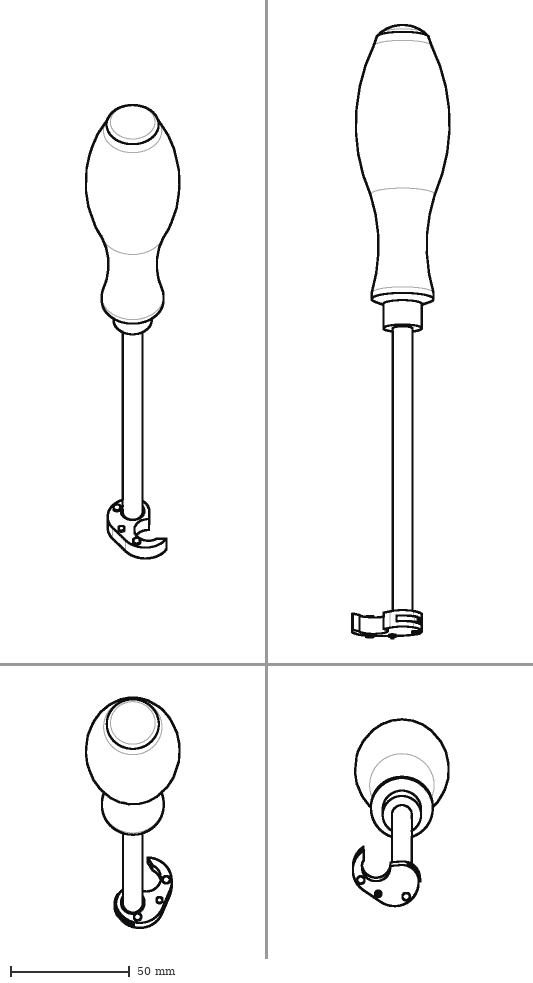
import cadquery as cq
import math

total_height = 261.2

collar_radius = 8.0
collar_bottom = 131.0
collar_top = 141.5
lip_radius = 13.0
lip_bottom = 143.6
lip_top = 146.3
neck_radius = 10.2
neck_z = 167.2
swell_start_radius = 13.5
swell_start_z = 188.5
belly_radius = 19.8
belly_z = 218.9
shoulder_radius = 12.3
shoulder_z = 252.3
rim_radius = 11.0
rim_z = 256.2
dome_radius = 9.5
dome_z = 257.8

shaft_radius = 4.2
eye_chamfer = 0.8
plate_bottom = 1.5
plate_top = 8.5
plate_thickness = plate_top - plate_bottom

eye_radius = 7.0
heel_radius = 10.2
heel_start_angle = 150.0
flank_angle = -75.0
flank_length = 9.0
jaw_outer_radius = 10.5
mouth_radius = 6.0
mouth_shift = 1.0
tip_outer_angle = 36.0
tip_inner_angle = 12.0
eye_end_angle = 60.0

boss_height = 0.8
bosses = [(-4.0, -5.5, 1.5), (7.5, -8.4, 1.3), (16.5, -5.2, 1.5)]
stud_radius = 0.4
stud_x, stud_y = bosses[1][:2]

band_bottom = 4.0
band_top = 6.3
band_height = band_top - band_bottom
band_projection = 0.65
slot_top_y = 2.0
slot_bottom_y = -5.5
slot_floor_x = -4.7


def polar(center, radius, angle):
    """Point at an angle in degrees on a circle."""
    turn = math.radians(angle)
    return (center[0] + radius * math.cos(turn), center[1] + radius * math.sin(turn))


axis = (0.0, 0.0)
heel_center = polar(axis, heel_radius - eye_radius, heel_start_angle - 180)
flank_start = polar(heel_center, heel_radius, flank_angle)
flank_end = polar(flank_start, flank_length, flank_angle + 90)
jaw_center = polar(flank_end, jaw_outer_radius, flank_angle + 180)
mouth_center = (jaw_center[0] + mouth_shift, jaw_center[1] + mouth_shift)


def dome_arc_radius():
    """Radius of the crown that is level on the axis."""
    rise = total_height - dome_z
    return (dome_radius ** 2 + rise ** 2) / (2 * rise)


def make_handle():
    profile = (
        cq.Workplane("XZ")
        .moveTo(0, collar_bottom)
        .lineTo(collar_radius, collar_bottom)
        .lineTo(collar_radius, collar_top)
        .lineTo(lip_radius, lip_bottom)
        .lineTo(lip_radius, lip_top)
        .threePointArc((neck_radius, neck_z), (swell_start_radius, swell_start_z))
        .threePointArc((belly_radius, belly_z), (shoulder_radius, shoulder_z))
        .lineTo(rim_radius, rim_z)
        .lineTo(dome_radius, dome_z)
        .radiusArc((0, total_height), -dome_arc_radius())
        .close()
    )
    return profile.revolve(360, (0, 0, 0), (0, 1, 0))


def hook_outline(z, offset):
    """Outer outline of the hook, grown outward by the offset, without the mouth."""
    eye = eye_radius + offset
    heel = heel_radius + offset
    jaw = jaw_outer_radius + offset
    heel_middle = (heel_start_angle + flank_angle + 360) / 2
    jaw_middle = (flank_angle + tip_outer_angle) / 2
    eye_middle = (eye_end_angle + heel_start_angle) / 2
    return (
        cq.Workplane("XY", origin=(0, 0, z))
        .moveTo(*polar(axis, eye, eye_end_angle))
        .threePointArc(polar(axis, eye, eye_middle), polar(axis, eye, heel_start_angle))
        .threePointArc(polar(heel_center, heel, heel_middle), polar(heel_center, heel, flank_angle))
        .lineTo(*polar(jaw_center, jaw, flank_angle))
        .threePointArc(polar(jaw_center, jaw, jaw_middle), polar(jaw_center, jaw, tip_outer_angle))
        .lineTo(*polar(mouth_center, mouth_radius, tip_inner_angle))
        .lineTo(*mouth_center)
        .close()
    )


def make_band():
    """Raised band on the eye, from the slot round to the +Y side."""
    span = eye_radius + band_projection
    keep = (
        cq.Workplane("XY", origin=(-span, slot_top_y, band_bottom))
        .rect(span, span, centered=False)
        .extrude(band_height)
    )
    return hook_outline(band_bottom, band_projection).extrude(band_height).intersect(keep)


def make_slot():
    """Block that opens the slot, reaching from its flat floor out past the heel."""
    reach = heel_radius
    return (
        cq.Workplane("XY", origin=(slot_floor_x - reach, slot_bottom_y, band_bottom))
        .rect(reach, slot_top_y - slot_bottom_y, centered=False)
        .extrude(band_height)
    )


def make_mouth():
    return (
        cq.Workplane("XY", origin=(*mouth_center, plate_bottom))
        .circle(mouth_radius)
        .extrude(plate_thickness)
    )


def make_eye_bevel():
    """Cone that bevels the top edge of the eye around the shaft."""
    return cq.Workplane("XY").add(
        cq.Solid.makeCone(
            shaft_radius,
            shaft_radius + eye_chamfer,
            eye_chamfer,
            pnt=cq.Vector(0, 0, plate_top - eye_chamfer),
        )
    )


def make_tool():
    plate = hook_outline(plate_bottom, 0).extrude(plate_thickness)
    tool = plate.union(make_band()).cut(make_slot())
    tool = tool.cut(make_mouth()).cut(make_eye_bevel())
    for x, y, radius in bosses:
        boss = (
            cq.Workplane("XY", origin=(x, y, plate_bottom - boss_height))
            .circle(radius)
            .extrude(plate_thickness + 2 * boss_height)
        )
        tool = tool.union(boss)
    stud = cq.Workplane("XY", origin=(stud_x, stud_y, 0)).circle(stud_radius).extrude(plate_bottom)
    shaft = (
        cq.Workplane("XY", origin=(0, 0, plate_bottom))
        .circle(shaft_radius)
        .extrude(collar_bottom - plate_bottom)
    )
    return tool.union(stud).union(shaft)


handle = make_handle()
tool = make_tool()
result = cq.Compound.makeCompound([handle.val(), tool.val()])